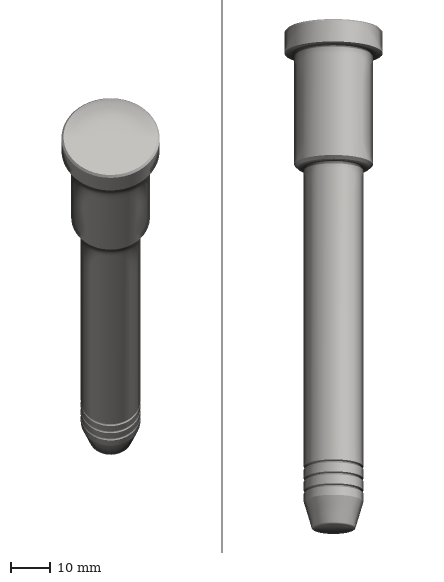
import cadquery as cq

total_length = 131.0
head_diameter = 25.0
head_height = 6.0
head_chamfer = 0.5
body_diameter = 20.0
body_end_below_top = 36.0
body_chamfer = 0.8
shank_diameter = 15.2

taper_height = 7.1
tip_diameter = 11.0
tip_fillet = 0.5

relief_width = 0.8
head_relief_depth = 0.4
body_relief_depth = 0.5

ring_count = 3
ring_pitch = 3.1
ring_width = 0.8
ring_depth = 0.5
first_ring_height = 9.7

groove_floor_width = 0.3

body_bottom = total_length - body_end_below_top
head_bottom = total_length - head_height


def cylinder(diameter, bottom, top):
    """Solid cylinder on the Z axis between two heights."""
    return cq.Workplane("XY").workplane(offset=bottom).circle(diameter / 2).extrude(top - bottom)


def groove(diameter, depth, bottom, width):
    """Ring-shaped cutter for a square groove in a cylinder of the given diameter."""
    return (
        cq.Workplane("XY")
        .workplane(offset=bottom)
        .circle(diameter / 2)
        .circle(diameter / 2 - depth)
        .extrude(width)
    )


def tapered_groove(diameter, depth, bottom, width):
    """Ring-shaped cutter with sloping walls and a narrow flat floor."""
    radius = diameter / 2
    wall_height = (width - groove_floor_width) / 2
    return (
        cq.Workplane("XZ")
        .moveTo(radius, bottom)
        .lineTo(radius - depth, bottom + wall_height)
        .lineTo(radius - depth, bottom + width - wall_height)
        .lineTo(radius, bottom + width)
        .close()
        .revolve(360, (0, 0, 0), (0, 1, 0))
    )


tip = (
    cq.Workplane("XY")
    .circle(tip_diameter / 2)
    .workplane(offset=taper_height)
    .circle(shank_diameter / 2)
    .loft(ruled=True)
    .faces("<Z")
    .edges()
    .fillet(tip_fillet)
)

shank = cylinder(shank_diameter, taper_height, body_bottom)
body = cylinder(body_diameter, body_bottom, head_bottom).faces("<Z").edges().chamfer(body_chamfer)
head = cylinder(head_diameter, head_bottom, total_length).faces(">Z").edges().chamfer(head_chamfer)
pin = tip.union(shank).union(body).union(head)

pin = pin.cut(tapered_groove(body_diameter, head_relief_depth, head_bottom - relief_width, relief_width))
pin = pin.cut(groove(shank_diameter, body_relief_depth, body_bottom - relief_width, relief_width))

for index in range(ring_count):
    ring_center = first_ring_height + index * ring_pitch
    pin = pin.cut(tapered_groove(shank_diameter, ring_depth, ring_center - ring_width / 2, ring_width))

result = pin